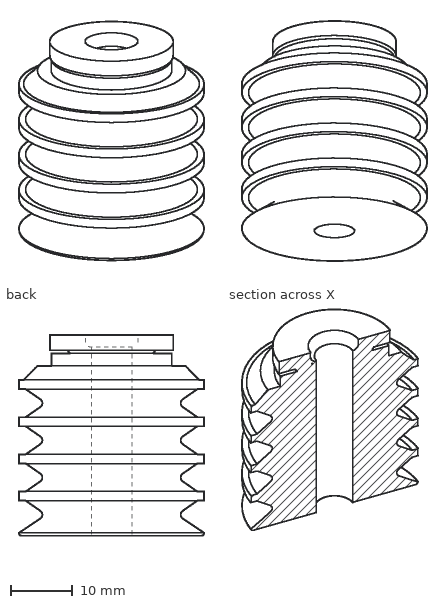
import cadquery as cq
import math

total_height = 32.5
flange_thickness = 2.5
neck_height = 0.5
collar_height = 2.0
shoulder_height = 2.28
rib_thickness = 1.5
fold_pitch = 6.0
fold_count = 4
lip_height = 0.5

rib_radius = 30.0 / 2
flange_radius = 20.0 / 2
neck_top_radius = 7.12
neck_bottom_radius = 13.5 / 2
collar_radius = 19.5 / 2
shoulder_top_radius = 12.0
shoulder_bottom_radius = 14.25
fold_outer_radius = 13.9
fold_inner_radius = 11.2
lip_bottom_radius = rib_radius - lip_height

fold_round = 0.75
fold_angle = math.radians(34)

bore_radius = 6.5 / 2
recess_radius = 8.5 / 2
recess_wall_depth = 0.95
recess_round = recess_radius - bore_radius

flange_bottom = total_height - flange_thickness
collar_top = flange_bottom - neck_height
collar_bottom = collar_top - collar_height
first_rib_top = collar_bottom - shoulder_height
fold_gap = fold_pitch - rib_thickness
round_half_height = fold_round * math.cos(fold_angle)
round_edge_radius = fold_inner_radius + fold_round * (1 - math.sin(fold_angle))


def add_rib_and_groove(profile, rib_top):
    """Draw one rib edge and the groove below it, ending at the lower edge of the root round."""
    rib_bottom = rib_top - rib_thickness
    groove_middle = rib_bottom - fold_gap / 2
    return (
        profile.lineTo(rib_radius, rib_top)
        .lineTo(rib_radius, rib_bottom)
        .lineTo(fold_outer_radius, rib_bottom)
        .lineTo(round_edge_radius, groove_middle + round_half_height)
        .threePointArc(
            (fold_inner_radius, groove_middle),
            (round_edge_radius, groove_middle - round_half_height),
        )
    )


def make_bellows():
    """Revolve the outer outline of flange, neck, collar, folds and bottom lip."""
    profile = (
        cq.Workplane("XZ")
        .moveTo(0, total_height)
        .lineTo(flange_radius, total_height)
        .lineTo(flange_radius, flange_bottom)
        .lineTo(neck_top_radius, flange_bottom)
        .lineTo(neck_bottom_radius, collar_top)
        .lineTo(collar_radius, collar_top)
        .lineTo(collar_radius, collar_bottom)
        .lineTo(shoulder_top_radius, collar_bottom)
        .lineTo(shoulder_bottom_radius, first_rib_top)
    )
    for fold in range(fold_count):
        rib_top = first_rib_top - fold * fold_pitch
        profile = add_rib_and_groove(profile, rib_top)
        if fold < fold_count - 1:
            profile = profile.lineTo(fold_outer_radius, rib_top - fold_pitch)
    diagonal = lip_height * math.sqrt(0.5)
    profile = (
        profile.lineTo(rib_radius, lip_height)
        .threePointArc(
            (lip_bottom_radius + diagonal, lip_height - diagonal),
            (lip_bottom_radius, 0),
        )
        .lineTo(0, 0)
        .close()
    )
    return profile.revolve(360, (0, 0), (0, 1))


def make_bore():
    """Revolve the through bore with its wider, round-bottomed recess at the top."""
    round_top = total_height - recess_wall_depth
    diagonal = recess_round * math.sqrt(0.5)
    return (
        cq.Workplane("XZ")
        .lineTo(bore_radius, 0)
        .lineTo(bore_radius, round_top - recess_round)
        .threePointArc(
            (bore_radius + diagonal, round_top - diagonal),
            (recess_radius, round_top),
        )
        .lineTo(recess_radius, total_height)
        .lineTo(0, total_height)
        .close()
        .revolve(360, (0, 0), (0, 1))
    )


result = make_bellows().cut(make_bore())